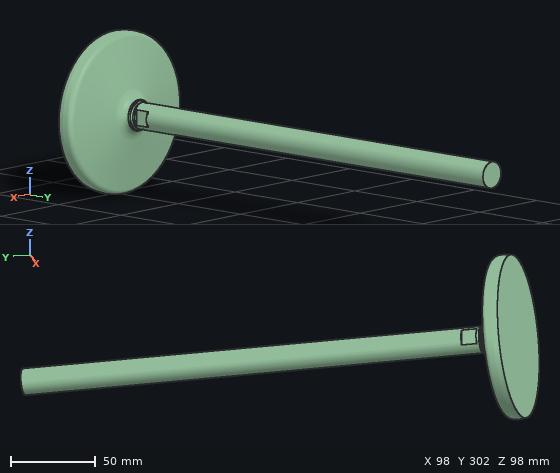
import cadquery as cq
import math

total_length = 302.0

head_diameter = 97.98
face_diameter = 97.0
face_taper_height = 3.5
rim_top_diameter = 97.7
rim_corner_radius = 3.4
back_angle = math.radians(9.5)
back_edge_height = 9.45

flare_start_radius = 15.5
flare_middle_radius = 11.8
flare_middle_height = 16.4
flare_end_radius = 9.4
flare_end_height = 19.8
collar_root_radius = 8.0
collar_root_height = 20.1
collar_crest_radius = 8.9
collar_crest_height = 20.85

stem_diameter = 16.0
stem_start = 22.2
joint_radius = 7.3
flat_distance = 13.0
flat_start = 23.8
flat_length = 9.2

head_radius = head_diameter / 2
face_radius = face_diameter / 2
rim_top_radius = rim_top_diameter / 2
stem_radius = stem_diameter / 2


def back_height(radius):
    """Height of the conical back of the head at a given radius."""
    return back_edge_height + (rim_top_radius - radius) * math.tan(back_angle)


def make_head():
    """Head disc with a tapered rim, conical back, flared neck and sharp collar, turned about Y."""
    corner_turn = math.pi / 2 - back_angle
    tangent_length = rim_corner_radius * math.tan(corner_turn / 2)
    corner_start_height = back_edge_height - tangent_length
    corner_end_radius = rim_top_radius - tangent_length * math.cos(back_angle)
    profile = (
        cq.Workplane("XY")
        .lineTo(face_radius, 0)
        .lineTo(head_radius, face_taper_height)
        .lineTo(rim_top_radius, corner_start_height)
        .radiusArc((corner_end_radius, back_height(corner_end_radius)), -rim_corner_radius)
        .lineTo(flare_start_radius, back_height(flare_start_radius))
        .tangentArcPoint((flare_middle_radius, flare_middle_height), relative=False)
        .tangentArcPoint((flare_end_radius, flare_end_height), relative=False)
        .lineTo(collar_root_radius, collar_root_height)
        .lineTo(collar_crest_radius, collar_crest_height)
        .lineTo(joint_radius, stem_start)
        .lineTo(0, stem_start)
        .close()
    )
    return profile.revolve(360, (0, 0, 0), (0, 1, 0))


def make_stem():
    """Round stem with two opposite wrench flats facing +X and -X."""
    stem = (
        cq.Workplane("XZ", origin=(0, stem_start, 0))
        .circle(stem_radius)
        .extrude(-(total_length - stem_start))
    )
    flat_depth = stem_radius - flat_distance / 2
    for side in (-1, 1):
        flat_cut = (
            cq.Workplane("XY")
            .box(flat_depth, flat_length, stem_diameter)
            .translate((side * (flat_distance + flat_depth) / 2, flat_start + flat_length / 2, 0))
        )
        stem = stem.cut(flat_cut)
    return stem


head = make_head()
stem = make_stem()
result = cq.Compound.makeCompound([head.val(), stem.val()])